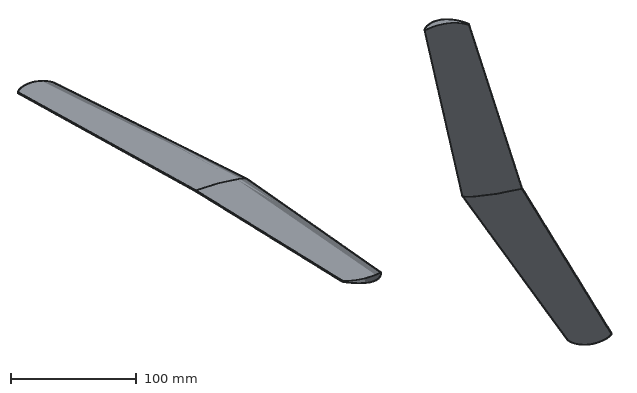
import cadquery as cq

half_span = 250.0
dihedral = 3.0

thickness = 4.85
trailing_edge_thickness = 1.0

tip_station = 241.5
root_y = {"nose": 0.0, "front_crease": -10.5, "rear_crease": -28.5, "trailing": -49.0}
tip_y = {"nose": -27.5, "front_crease": -36.5, "rear_crease": -43.0, "trailing": -64.0}
tip_apex_y = -46.5
trim_margin = 10.0


def chord_position(name, x):
    """Y of a straight spanwise line at distance x from the root."""
    return root_y[name] + (tip_y[name] - root_y[name]) * x / tip_station


def section(x):
    """Closed section: elliptical nose, flat middle and tapered rear."""
    nose, front, rear, trailing = (chord_position(name, x) for name in root_y)
    half = thickness / 2
    edge = trailing_edge_thickness / 2
    outline = [(front, -half), (rear, -half), (trailing, -edge), (trailing, edge), (rear, half), (front, half)]
    points = [cq.Vector(x, y, z) for y, z in outline]
    edges = [cq.Edge.makeLine(start, end) for start, end in zip(points, points[1:])]
    nose_arc = cq.Edge.makeEllipse(
        nose - front, half, cq.Vector(x, front, 0), cq.Vector(1, 0, 0), cq.Vector(0, 1, 0), 270, 90
    )
    return cq.Wire.assembleEdges(edges + [nose_arc])


def planform():
    """Tall block with the rounded tip outline, used to trim the tip."""
    return (
        cq.Workplane("XY")
        .workplane(offset=-thickness)
        .moveTo(0, root_y["nose"] + trim_margin)
        .lineTo(tip_station, root_y["nose"] + trim_margin)
        .lineTo(tip_station, tip_y["nose"])
        .threePointArc((half_span, tip_apex_y), (tip_station, tip_y["trailing"]))
        .lineTo(tip_station, tip_y["trailing"] - trim_margin)
        .lineTo(0, tip_y["trailing"] - trim_margin)
        .close()
        .extrude(2 * thickness)
    )


def level_half():
    """One half reaching along +X, with its top at Z = 0."""
    stock = cq.Solid.makeLoft([section(0), section(half_span + trim_margin)], True)
    return cq.Workplane(stock).intersect(planform()).translate((0, 0, -thickness / 2))


right_half = level_half()

left_half = level_half().mirror("YZ").rotate((0, 0, 0), (0, 1, 0), dihedral)

result = cq.Compound.makeCompound([right_half.solids().val(), left_half.solids().val()])